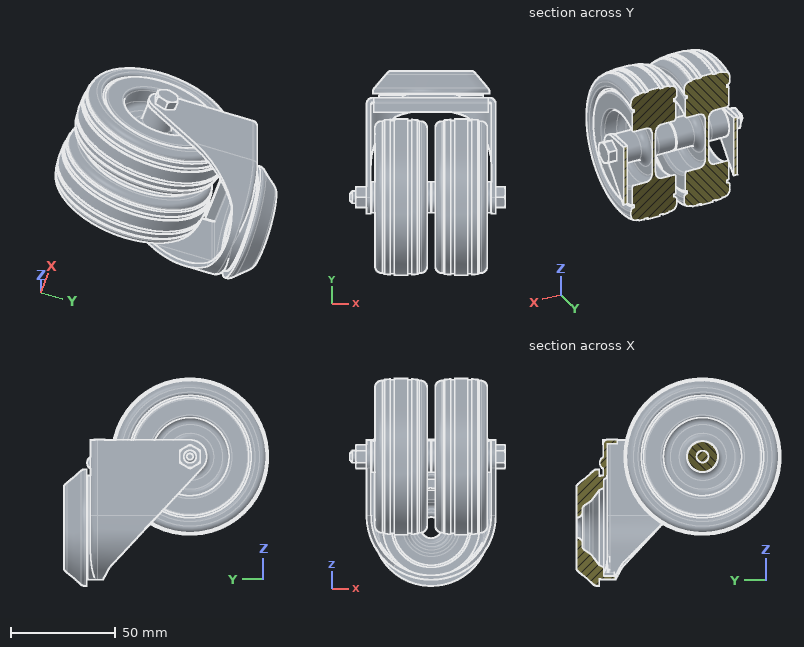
import cadquery as cq
import math


WHEEL_RADIUS = 37.5
WHEEL_HALF_WIDTH = 12.55
HUB_LENGTH = 28.8
HUB_RADIUS = 7.5
HUB_CHAMFER = 0.3
AXLE_RADIUS = 3.0

SHEET = 2.2
FORK_HALF_WIDTH = HUB_LENGTH + SHEET
FORK_BACK = 47.7
FORK_TOP = 8.0
FORK_ARC_Z = -28.0
FORK_BEND = 3.2
LEG_END_RADIUS = 8.0

SWIVEL_Z = -34.0
DOME_RADIUS = 28.0
DOME_BACK = 60.4
DOME_RIM = 49.4

TREAD_BAND_HALF = 3.2
GROOVE_OUTER = 5.1
GROOVE_FLOOR_RADIUS = 36.8
SHOULDER_RADIUS = 37.2
FINE_GROOVE_START = 7.8
FINE_GROOVE_MIDDLE = 8.65
FINE_GROOVE_END = 9.55
FINE_GROOVE_START_RADIUS = 36.95
FINE_GROOVE_RADIUS = 36.45
TYRE_ROUND_MID = (11.7, 35.3)
SIDEWALL_RADIUS = 33.2
TYRE_LIP_RADIUS = 31.0
TYRE_LIP_ROUND = 1.7

DISC_FACE = 12.0
DISC_EDGE_RADIUS = 28.2
DISC_EDGE_ROUND = 0.7
DISC_INNER_RADIUS = 20.0
DISC_INNER_ROUND = 1.3
WEB_HALF = 1.0
DISH_ROUND = 3.2
HUB_ROUND = 3.8

SLOPE_END = (38.4, -53.0)
SKIRT_ARCH_Y = 41.6
EDGE_STEPS = 8

LIP_HALF_WIDTH = 27.4
LIP_FRONT = 40.7
LIP_TOP = 8.3
LIP_BEND = 2.5

RIB_RADIUS = 3.16
RIB_HEIGHT = 1.6
RIB_HALF_LENGTH = 11.2
RIB_Z = -3.0

COLLAR_RADIUS = 25.0
COLLAR_STEP_RADIUS = 24.7
COLLAR_STEP_Y = 48.9
DOME_RIM_HEIGHT = 0.9
DOME_CONE_START = (27.2, 52.3)
DOME_CONE_END = (21.6, 58.9)
DOME_FLAT_RADIUS = 20.0
SEAT_RADIUS = 23.15
SEAT_MOUTH_RADIUS = 25.5
CAVITY_RADIUS = 19.0
CAVITY_STEP_RADIUS = 18.0
CAVITY_CONE_END = (13.7, 52.6)
CAVITY_NECK_START = (12.2, 54.2)
CAVITY_NECK_END = (10.6, 56.6)
CAVITY_FLOOR_WALL = 3.0
CAVITY_FLOOR_RADIUS = 9.0
HOLE_RADIUS = 5.0
HOLE_ROUND = 2.5

HEX_FLATS = 10.0
HEX_CORNERS = HEX_FLATS / math.cos(math.radians(30))
HEX_CHAMFER_RADIUS = 5.2
HEX_CHAMFER_HEIGHT = 0.4
HEAD_HEIGHT = 4.5
NUT_HEIGHT = 5.2
BOLT_TIP = 39.0
BOLT_TIP_CHAMFER = 1.3
BOLT_TIP_RADIUS = 1.5

DIAGONAL = math.sqrt(0.5)
FORK_INNER_BACK = FORK_BACK - SHEET
FORK_BOTTOM = FORK_ARC_Z - FORK_HALF_WIDTH
SEAT_Y = DOME_RIM - SHEET
SKIRT_ARCH_ANGLE = math.acos((FORK_ARC_Z - SLOPE_END[1]) / FORK_HALF_WIDTH)
MARGIN = 10.0


def revolve_on_swivel(profile):
    """Turn a closed (radius, y) profile about the swivel axis."""
    return profile.close().revolve(360, (0, 0, 0), (0, 1, 0)).translate((0, 0, SWIVEL_Z))


def fork_block(half_width, front, back):
    """Block with a straight top and a half-round bottom, running along Y."""
    return (
        cq.Workplane("XZ", origin=(0, back, 0))
        .moveTo(-half_width, FORK_TOP)
        .lineTo(-half_width, FORK_ARC_Z)
        .threePointArc((0, FORK_ARC_Z - half_width), (half_width, FORK_ARC_Z))
        .lineTo(half_width, FORK_TOP)
        .close()
        .extrude(back - front)
    )


def round_back_edge(block, radius):
    """Round the U-shaped bend at the back, leaving the straight top edge sharp."""
    top_back_edge = cq.selectors.BoxSelector(
        (-MARGIN, FORK_INNER_BACK - SHEET, FORK_TOP - SHEET),
        (MARGIN, FORK_BACK + SHEET, FORK_TOP + SHEET),
    )
    bend_edges = cq.selectors.SubtractSelector(cq.StringSyntaxSelector(">Y"), top_back_edge)
    return block.edges(bend_edges).fillet(radius)


def fork_cavity():
    """Space inside the fork, open at the front, that the swivel collar must not fill."""
    return round_back_edge(
        fork_block(HUB_LENGTH, -LEG_END_RADIUS - MARGIN, FORK_INNER_BACK), FORK_BEND - SHEET
    )


def slope_angle():
    """Direction from the axle, in the YZ plane, to where the sloping edge leaves the leg end."""
    slope_y, slope_z = SLOPE_END
    distance = math.hypot(slope_y, slope_z)
    return math.atan2(slope_z, slope_y) - math.acos(LEG_END_RADIUS / distance)


def slope_y_at(z):
    """Y of the sloping edge at height z."""
    return SLOPE_END[0] - (z - SLOPE_END[1]) * math.tan(slope_angle())


def skirt_edge_y(angle):
    """Y of the skirt's front edge; the angle is measured from straight down about the fork arc."""
    if abs(angle) < SKIRT_ARCH_ANGLE:
        return SKIRT_ARCH_Y - (SKIRT_ARCH_Y - SLOPE_END[0]) * (angle / SKIRT_ARCH_ANGLE) ** 2
    return slope_y_at(FORK_ARC_Z - FORK_HALF_WIDTH * math.cos(angle))


def trim_skirt(fork):
    """Cut the curved skirt back to its sloping sides and arched bottom, square to the sheet."""
    limits = [-math.pi / 2, -SKIRT_ARCH_ANGLE, SKIRT_ARCH_ANGLE, math.pi / 2]

    def edge(radius, start, end):
        angles = [start + (end - start) * step / EDGE_STEPS for step in range(EDGE_STEPS + 1)]
        return cq.Edge.makeSpline(
            [
                cq.Vector(radius * math.sin(a), skirt_edge_y(a), FORK_ARC_Z - radius * math.cos(a))
                for a in angles
            ]
        )

    for start, end in zip(limits, limits[1:]):
        inner = edge(HUB_LENGTH - SHEET, start, end)
        outer = edge(FORK_HALF_WIDTH + SHEET, start, end)
        surface = cq.Face.makeRuledSurface(inner, outer)
        fork = fork.cut(cq.Workplane(cq.Solid.extrudeLinear(surface, cq.Vector(0, -FORK_BACK, 0))))
    return fork


def fork_side_outline():
    """Side shape kept from the fork: round leg ends and sloping edges down to the skirt."""
    leg_bottom_y = slope_y_at(FORK_ARC_Z)
    tangent_angle = slope_angle()
    middle_angle = (tangent_angle - 1.5 * math.pi) / 2
    tangent = (LEG_END_RADIUS * math.cos(tangent_angle), LEG_END_RADIUS * math.sin(tangent_angle))
    middle = (LEG_END_RADIUS * math.cos(middle_angle), LEG_END_RADIUS * math.sin(middle_angle))
    return (
        cq.Workplane("YZ")
        .moveTo(FORK_BACK, FORK_TOP)
        .lineTo(0, FORK_TOP)
        .threePointArc(middle, tangent)
        .lineTo(leg_bottom_y, FORK_ARC_Z)
        .lineTo(leg_bottom_y, FORK_BOTTOM)
        .lineTo(FORK_BACK, FORK_BOTTOM)
        .close()
        .extrude(FORK_HALF_WIDTH + MARGIN, both=True)
    )


def lip():
    """Top of the back plate, bent forward into a short flange."""
    inner_bend = LIP_BEND - SHEET
    foot = LIP_TOP - LIP_BEND
    bend_y = FORK_BACK - LIP_BEND
    return (
        cq.Workplane("YZ")
        .moveTo(LIP_FRONT, LIP_TOP)
        .lineTo(bend_y, LIP_TOP)
        .threePointArc((bend_y + LIP_BEND * DIAGONAL, foot + LIP_BEND * DIAGONAL), (FORK_BACK, foot))
        .lineTo(FORK_INNER_BACK, foot)
        .threePointArc(
            (bend_y + inner_bend * DIAGONAL, foot + inner_bend * DIAGONAL), (bend_y, LIP_TOP - SHEET)
        )
        .lineTo(LIP_FRONT, LIP_TOP - SHEET)
        .close()
        .extrude(LIP_HALF_WIDTH, both=True)
    )


def rib():
    """Half-round rib with ball ends, standing out of the back plate."""
    center_y = FORK_BACK + RIB_HEIGHT - RIB_RADIUS
    shape = (
        cq.Workplane("YZ", origin=(0, center_y, RIB_Z))
        .circle(RIB_RADIUS)
        .extrude(RIB_HALF_LENGTH, both=True)
    )
    for side in (-1, 1):
        ball = cq.Workplane("XY").sphere(RIB_RADIUS).translate((side * RIB_HALF_LENGTH, center_y, RIB_Z))
        shape = shape.union(ball)
    keep = cq.Workplane("XY").box(2 * FORK_HALF_WIDTH, SHEET / 2 + RIB_HEIGHT, 4 * RIB_RADIUS)
    return shape.intersect(keep.translate((0, FORK_BACK + (RIB_HEIGHT - SHEET / 2) / 2, RIB_Z)))


def make_fork():
    """Bent sheet-metal fork: two legs, rounded skirt, back plate, lip and rib."""
    outer = round_back_edge(fork_block(FORK_HALF_WIDTH, -LEG_END_RADIUS, FORK_BACK), FORK_BEND)
    fork = trim_skirt(outer.cut(fork_cavity()).intersect(fork_side_outline()))
    lip_notch = cq.Workplane("XY").box(
        2 * LIP_HALF_WIDTH, FORK_BACK - LIP_FRONT, LIP_BEND, centered=(True, False, False)
    )
    fork = fork.cut(lip_notch.translate((0, LIP_FRONT, LIP_TOP - LIP_BEND)))
    return fork.union(lip()).union(rib())


def swivel_head():
    """Collar behind the fork and the cone-shaped dome on top of it."""
    return revolve_on_swivel(
        cq.Workplane("XY")
        .moveTo(0, FORK_BACK - FORK_BEND)
        .lineTo(COLLAR_RADIUS, FORK_BACK - FORK_BEND)
        .lineTo(COLLAR_RADIUS, COLLAR_STEP_Y)
        .lineTo(COLLAR_STEP_RADIUS, COLLAR_STEP_Y)
        .lineTo(COLLAR_STEP_RADIUS, DOME_RIM)
        .lineTo(DOME_RADIUS, DOME_RIM)
        .lineTo(DOME_RADIUS, DOME_RIM + DOME_RIM_HEIGHT)
        .tangentArcPoint(DOME_CONE_START, relative=False)
        .lineTo(*DOME_CONE_END)
        .tangentArcPoint((DOME_FLAT_RADIUS, DOME_BACK), relative=False)
        .lineTo(0, DOME_BACK)
    )


def swivel_cavity():
    """Stepped hollow inside the dome, ending in a through hole with a rounded mouth."""
    floor = DOME_BACK - CAVITY_FLOOR_WALL
    round_offset = HOLE_ROUND * (1 - DIAGONAL)
    return revolve_on_swivel(
        cq.Workplane("XY")
        .moveTo(0, FORK_INNER_BACK - FORK_BEND)
        .lineTo(SEAT_RADIUS, FORK_INNER_BACK - FORK_BEND)
        .lineTo(SEAT_RADIUS, SEAT_Y)
        .lineTo(CAVITY_RADIUS, SEAT_Y)
        .lineTo(CAVITY_STEP_RADIUS, DOME_RIM)
        .lineTo(*CAVITY_CONE_END)
        .tangentArcPoint(CAVITY_NECK_START, relative=False)
        .lineTo(*CAVITY_NECK_END)
        .tangentArcPoint((CAVITY_FLOOR_RADIUS, floor), relative=False)
        .lineTo(HOLE_RADIUS + HOLE_ROUND, floor)
        .threePointArc(
            (HOLE_RADIUS + round_offset, floor + round_offset), (HOLE_RADIUS, floor + HOLE_ROUND)
        )
        .lineTo(HOLE_RADIUS, DOME_BACK + MARGIN)
        .lineTo(0, DOME_BACK + MARGIN)
    )


def seat_mouth():
    """Rounded mouth of the ring-shaped seat, kept inside the fork so the skirt stays whole."""
    depth = SEAT_Y - FORK_INNER_BACK
    width = SEAT_MOUTH_RADIUS - SEAT_RADIUS
    mouth_round = (width**2 + depth**2) / (2 * depth)
    mouth = revolve_on_swivel(
        cq.Workplane("XY")
        .moveTo(0, FORK_INNER_BACK)
        .lineTo(SEAT_MOUTH_RADIUS, FORK_INNER_BACK)
        .radiusArc((SEAT_RADIUS, SEAT_Y), mouth_round)
        .lineTo(0, SEAT_Y)
    )
    return mouth.intersect(fork_block(HUB_LENGTH, -LEG_END_RADIUS, FORK_BACK))


def hexagon(height):
    """Hexagon along +X with two flats upright and its outer corners chamfered."""
    prism = cq.Workplane("YZ").polygon(6, HEX_CORNERS).extrude(height).rotate((0, 0, 0), (1, 0, 0), 90)
    cone = (
        cq.Workplane("XY")
        .lineTo(0, HEX_CORNERS / 2)
        .lineTo(height - HEX_CHAMFER_HEIGHT, HEX_CORNERS / 2)
        .lineTo(height, HEX_CHAMFER_RADIUS)
        .lineTo(height, 0)
        .close()
        .revolve(360, (0, 0, 0), (1, 0, 0))
    )
    return prism.intersect(cone)


def make_axle():
    """Bolt through both wheels, with its head on the +X side and the nut on the -X side."""
    shank = (
        cq.Workplane("XY")
        .moveTo(FORK_HALF_WIDTH, 0)
        .lineTo(FORK_HALF_WIDTH, AXLE_RADIUS)
        .lineTo(BOLT_TIP_CHAMFER - BOLT_TIP, AXLE_RADIUS)
        .lineTo(-BOLT_TIP, BOLT_TIP_RADIUS)
        .lineTo(-BOLT_TIP, 0)
        .close()
        .revolve(360, (0, 0, 0), (1, 0, 0))
    )
    head = hexagon(HEAD_HEIGHT).translate((FORK_HALF_WIDTH, 0, 0))
    nut = hexagon(NUT_HEIGHT).mirror("YZ").translate((-FORK_HALF_WIDTH, 0, 0))
    return shank.union(head).union(nut)


def make_frame():
    """Fork, swivel head and axle bolt as one body."""
    frame = make_fork().union(swivel_head().cut(fork_cavity()))
    return frame.cut(swivel_cavity()).cut(seat_mouth()).union(make_axle())


def make_wheel(center_x):
    """Wheel with bore, hub, dished disc and grooved tread, the same on both sides."""
    hub_end = HUB_LENGTH / 2
    lip_face = WHEEL_HALF_WIDTH - TYRE_LIP_ROUND
    groove_radius = TYRE_LIP_RADIUS - TYRE_LIP_ROUND
    dish_radius = DISC_INNER_RADIUS - DISC_INNER_ROUND
    half = (
        cq.Workplane("XY")
        .moveTo(TREAD_BAND_HALF, WHEEL_RADIUS)
        .lineTo(TREAD_BAND_HALF, GROOVE_FLOOR_RADIUS)
        .lineTo(GROOVE_OUTER, GROOVE_FLOOR_RADIUS)
        .lineTo(GROOVE_OUTER, SHOULDER_RADIUS)
        .lineTo(FINE_GROOVE_START, FINE_GROOVE_START_RADIUS)
        .lineTo(FINE_GROOVE_MIDDLE, FINE_GROOVE_RADIUS)
        .lineTo(FINE_GROOVE_END, FINE_GROOVE_RADIUS)
        .threePointArc(TYRE_ROUND_MID, (WHEEL_HALF_WIDTH, SIDEWALL_RADIUS))
        .lineTo(WHEEL_HALF_WIDTH, TYRE_LIP_RADIUS)
        .radiusArc((lip_face, groove_radius), TYRE_LIP_ROUND)
        .lineTo(lip_face, DISC_EDGE_RADIUS)
        .lineTo(DISC_FACE - DISC_EDGE_ROUND, DISC_EDGE_RADIUS)
        .radiusArc((DISC_FACE, DISC_EDGE_RADIUS - DISC_EDGE_ROUND), DISC_EDGE_ROUND)
        .lineTo(DISC_FACE, DISC_INNER_RADIUS)
        .radiusArc((DISC_FACE - DISC_INNER_ROUND, dish_radius), DISC_INNER_ROUND)
        .lineTo(WEB_HALF + DISH_ROUND, dish_radius)
        .radiusArc((WEB_HALF, dish_radius - DISH_ROUND), -DISH_ROUND)
        .lineTo(WEB_HALF, HUB_RADIUS + HUB_ROUND)
        .radiusArc((WEB_HALF + HUB_ROUND, HUB_RADIUS), -HUB_ROUND)
        .lineTo(hub_end - HUB_CHAMFER, HUB_RADIUS)
        .lineTo(hub_end, HUB_RADIUS - HUB_CHAMFER)
        .lineTo(hub_end, AXLE_RADIUS)
        .wire()
        .val()
    )
    tread_band = cq.Edge.makeLine(
        cq.Vector(-TREAD_BAND_HALF, WHEEL_RADIUS), cq.Vector(TREAD_BAND_HALF, WHEEL_RADIUS)
    )
    bore = cq.Edge.makeLine(cq.Vector(-hub_end, AXLE_RADIUS), cq.Vector(hub_end, AXLE_RADIUS))
    outline = cq.Wire.combine([half, half.mirror("YZ"), tread_band, bore])[0]
    wheel = cq.Solid.revolve(outline, [], 360, cq.Vector(0, 0, 0), cq.Vector(1, 0, 0))
    return wheel.translate(cq.Vector(center_x, 0, 0))


frame = make_frame()
wheels = [make_wheel(side * HUB_LENGTH / 2) for side in (-1, 1)]

result = cq.Compound.makeCompound([frame.solids().val(), *wheels])